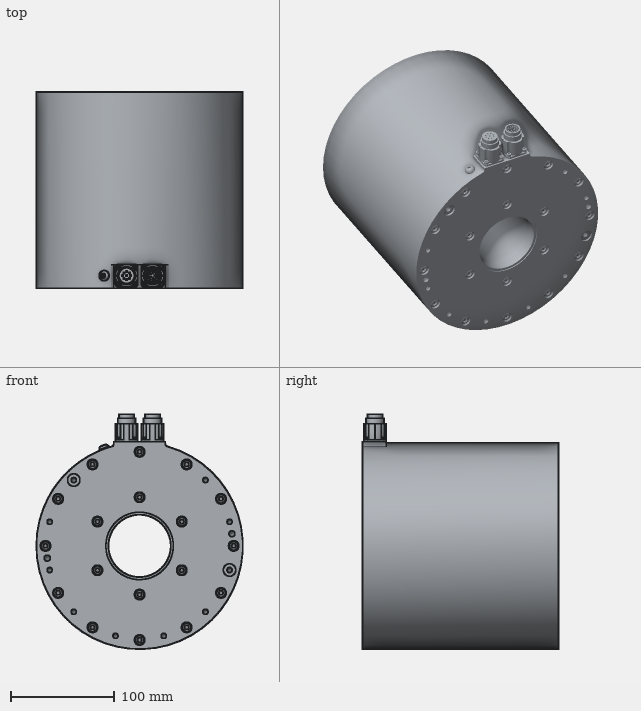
import cadquery as cq
import math

DRUM_DIAMETER = 200.0
DRUM_RADIUS = DRUM_DIAMETER / 2
DRUM_LENGTH = 190.0
TOTAL_HEIGHT = 227.5
BORE_DIAMETER = 60.0
RIM_DIAMETER = 65.3
RIM_DEPTH = 1.0

OUTER_SCREW_RADIUS = 91.0
OUTER_SCREW_COUNT = 12
INNER_SCREW_RADIUS = 47.0
INNER_SCREW_COUNT = 6
FIRST_SCREW_ANGLE = 90
SCREW_POCKET_DIAMETER = 10.0
SCREW_POCKET_DEPTH = 6.0
SCREW_HEAD_DIAMETER = 8.5
SCREW_HEAD_HEIGHT = 5.0
SCREW_EDGE_FILLET = 1.0
SCREW_HEX_DIAMETER = 4.5
SCREW_HEX_DEPTH = 2.5

HOLE_CIRCLE_RADIUS = 90.0
TAPPED_HOLE_DIAMETER = 5.0
TAPPED_HOLE_ANGLES = (15, 45, 135, 165, 195, 225, 255, 285, 315, 345)
SPOTFACED_ANGLES = (135, 345)
SPOTFACE_DIAMETER = 12.0
SPOTFACE_DEPTH = 2.0
DOWEL_HOLE_DIAMETER = 6.0
DOWEL_HOLE_ANGLES = (7.5, 187.5)
HOLE_DEPTH = 10.0
DRILL_POINT_ANGLE = 118

PAD_WIDTH = 50.0
PAD_LENGTH = 23.0
PAD_TOP = 100.8
PAD_FOOT_FILLET = 2.7

CONNECTOR_TOP = TOTAL_HEIGHT - DRUM_RADIUS
CONNECTOR_SPACING = 25.0
CONNECTOR_Y = 12.3
FLANGE_SIDE = 21.8
FLANGE_THICKNESS = 2.0
FLANGE_CORNER_RADIUS = 3.2
SHELL_TOP = 118.0
COLLAR_TOP = 123.5
COLLAR_DIAMETER = 17.5
NOSE_DIAMETER = 15.0
KEY_WIDTH = 5.5
SIDE_GROOVE_WIDTH = 1.0
SIDE_GROOVE_DEPTH = 1.1
FLANGE_SCREW_OFFSET = 8.5
FLANGE_SCREW_DIAMETER = 4.0
FLANGE_SCREW_HEIGHT = 2.5
FLANGE_SCREW_HEX_DIAMETER = 2.3
FLANGE_SCREW_HEX_DEPTH = 1.1
SCREW_CHANNEL_DIAMETER = 5.0

CONTACT_HOLE_DIAMETER = 1.5
CONTACT_HOLE_DEPTH = 2.5
CONTACT_HOLE_RINGS = ((3.9, 8), (0, 1))
PIN_WELL_DIAMETER = 12.0
PIN_WELL_DEPTH = 5.0
PIN_DIAMETER = 1.0
PIN_SETBACK = 0.5
PIN_RINGS = ((4.3, 12), (2.3, 5))

BUTTON_TILT = -20
BUTTON_DIAMETER = 10.0
BUTTON_TOP_DIAMETER = 5.0
BUTTON_RIM_HEIGHT = 0.7
BUTTON_HEIGHT = 3.6
BUTTON_DOME_RADIUS = 4.0
BUTTON_DOME_HEIGHT = 2.5
BUTTON_ROOT = 2.3
BUTTON_HEX_DIAMETER = 3.2
BUTTON_HEX_DEPTH = 2.0


def front_plane(y=0.0):
    """Plane parallel to the front face whose normal points into the drum."""
    return cq.Workplane(cq.Plane((0, y, 0), xDir=(-1, 0, 0), normal=(0, 1, 0)))


def circle_points(radius, angles):
    """Points on a circle around the origin, as coordinate pairs; angles in degrees from +X."""
    return [(radius * math.cos(math.radians(a)), radius * math.sin(math.radians(a))) for a in angles]


def equal_angles(count, start=0.0):
    return [start + i * 360 / count for i in range(count)]


def upright(diameter, bottom, top):
    """Vertical cylinder on the Z axis between two heights."""
    return cq.Workplane("XY").workplane(offset=bottom).circle(diameter / 2).extrude(top - bottom)


def copies(shape, places):
    """Compound of a shape repeated at (x, y, z) places."""
    placed = [shape.val().moved(cq.Location(cq.Vector(*place))) for place in places]
    return cq.Workplane(cq.Compound.makeCompound(placed))


def on_front(shape, points):
    """Compound of a shape repeated at (x, z) points of the front face."""
    return copies(shape, [(x, 0, z) for x, z in points])


def make_drum():
    drum = front_plane().circle(DRUM_RADIUS).extrude(DRUM_LENGTH)
    pad = cq.Workplane("XY").box(PAD_WIDTH, PAD_LENGTH, PAD_TOP, centered=(True, False, False))
    drum = drum.union(pad)
    foot_z = math.sqrt(DRUM_RADIUS**2 - (PAD_WIDTH / 2) ** 2)
    for side in (-1, 1):
        foot = cq.selectors.NearestToPointSelector((side * PAD_WIDTH / 2, PAD_LENGTH / 2, foot_z))
        drum = drum.edges("|Y").edges(foot).fillet(PAD_FOOT_FILLET)
    bore = front_plane().circle(BORE_DIAMETER / 2).extrude(DRUM_LENGTH)
    rim = front_plane().circle(RIM_DIAMETER / 2).extrude(RIM_DEPTH)
    return drum.cut(bore).cut(rim)


def blind_hole(diameter):
    """Drilled hole along Y from the front face, with a conical bottom."""
    tip = HOLE_DEPTH + diameter / 2 / math.tan(math.radians(DRILL_POINT_ANGLE / 2))
    outline = [(0, 0), (diameter / 2, 0), (diameter / 2, HOLE_DEPTH), (0, tip)]
    profile = cq.Workplane("XY").polyline(outline).close()
    return profile.revolve(360, (0, 0, 0), (0, 1, 0))


def drill_front(drum):
    tapped = circle_points(HOLE_CIRCLE_RADIUS, TAPPED_HOLE_ANGLES)
    dowels = circle_points(HOLE_CIRCLE_RADIUS, DOWEL_HOLE_ANGLES)
    spots = circle_points(HOLE_CIRCLE_RADIUS, SPOTFACED_ANGLES)
    spotface = front_plane().circle(SPOTFACE_DIAMETER / 2).extrude(SPOTFACE_DEPTH)
    drum = drum.cut(on_front(blind_hole(TAPPED_HOLE_DIAMETER), tapped))
    drum = drum.cut(on_front(blind_hole(DOWEL_HOLE_DIAMETER), dowels))
    return drum.cut(on_front(spotface, spots))


def add_front_screws(drum):
    places = circle_points(OUTER_SCREW_RADIUS, equal_angles(OUTER_SCREW_COUNT, FIRST_SCREW_ANGLE))
    places += circle_points(INNER_SCREW_RADIUS, equal_angles(INNER_SCREW_COUNT, FIRST_SCREW_ANGLE))
    head_y = SCREW_POCKET_DEPTH - SCREW_HEAD_HEIGHT
    pocket = front_plane().circle(SCREW_POCKET_DIAMETER / 2).extrude(SCREW_POCKET_DEPTH)
    head = front_plane(head_y).circle(SCREW_HEAD_DIAMETER / 2).extrude(SCREW_HEAD_HEIGHT)
    head = head.faces("<Y").edges().fillet(SCREW_EDGE_FILLET)
    hexagon = front_plane(head_y).polygon(6, SCREW_HEX_DIAMETER).extrude(SCREW_HEX_DEPTH)
    return drum.cut(on_front(pocket.cut(head.cut(hexagon)), places))


def flange_screw_places():
    signs = (-1, 1)
    return [(sx * FLANGE_SCREW_OFFSET, sy * FLANGE_SCREW_OFFSET, 0) for sx in signs for sy in signs]


def make_shell():
    """Round housing with a flat key front and back, side grooves and channels for the flange screws."""
    bottom = PAD_TOP + FLANGE_THICKNESS
    rim = FLANGE_SIDE / 2
    keys = cq.Workplane("XY").workplane(offset=PAD_TOP).rect(KEY_WIDTH, FLANGE_SIDE)
    keys = keys.extrude(SHELL_TOP - PAD_TOP)
    side_grooves = cq.Workplane("XY").workplane(offset=bottom).pushPoints([(-rim, 0), (rim, 0)])
    side_grooves = side_grooves.rect(2 * SIDE_GROOVE_DEPTH, SIDE_GROOVE_WIDTH).extrude(SHELL_TOP - bottom)
    channels = copies(upright(SCREW_CHANNEL_DIAMETER, bottom, SHELL_TOP), flange_screw_places())
    shell = upright(FLANGE_SIDE, bottom, SHELL_TOP)
    return shell.cut(side_grooves).cut(channels).union(keys)


def contact_places(rings):
    """Places of contacts on circles around Z; rings lists (circle radius, contact count)."""
    return [(x, y, 0) for radius, count in rings for x, y in circle_points(radius, equal_angles(count))]


def make_contact_holes():
    hole = upright(CONTACT_HOLE_DIAMETER, CONNECTOR_TOP - CONTACT_HOLE_DEPTH, CONNECTOR_TOP)
    return copies(hole, contact_places(CONTACT_HOLE_RINGS))


def make_pin_well():
    """Round well in the nose, less the pins that stand in it."""
    floor = CONNECTOR_TOP - PIN_WELL_DEPTH
    well = upright(PIN_WELL_DIAMETER, floor, CONNECTOR_TOP)
    pin = upright(PIN_DIAMETER, floor, CONNECTOR_TOP - PIN_SETBACK)
    return well.cut(copies(pin, contact_places(PIN_RINGS)))


def make_connector(contacts):
    flange_top = PAD_TOP + FLANGE_THICKNESS
    flange = cq.Workplane("XY").workplane(offset=PAD_TOP).rect(FLANGE_SIDE, FLANGE_SIDE)
    flange = flange.extrude(FLANGE_THICKNESS).edges("|Z").fillet(FLANGE_CORNER_RADIUS)
    screw_top = flange_top + FLANGE_SCREW_HEIGHT
    screw = upright(FLANGE_SCREW_DIAMETER, flange_top, screw_top)
    hexagon = cq.Workplane("XY").workplane(offset=screw_top).polygon(6, FLANGE_SCREW_HEX_DIAMETER)
    screw = screw.cut(hexagon.extrude(-FLANGE_SCREW_HEX_DEPTH))
    connector = flange.union(make_shell())
    connector = connector.union(upright(COLLAR_DIAMETER, SHELL_TOP, COLLAR_TOP))
    connector = connector.union(upright(NOSE_DIAMETER, COLLAR_TOP, CONNECTOR_TOP))
    return connector.union(copies(screw, flange_screw_places())).cut(contacts)


def make_button_screw():
    """Domed screw head with a hexagon socket, tilted around the drum axis."""
    rim_radius = BUTTON_DIAMETER / 2
    top_radius = BUTTON_TOP_DIAMETER / 2
    rim_z = DRUM_RADIUS + BUTTON_RIM_HEIGHT
    top_z = DRUM_RADIUS + BUTTON_HEIGHT
    dome_middle = (BUTTON_DOME_RADIUS, DRUM_RADIUS + BUTTON_DOME_HEIGHT)
    profile = (
        cq.Workplane("XZ")
        .moveTo(0, DRUM_RADIUS - BUTTON_ROOT)
        .lineTo(rim_radius, DRUM_RADIUS - BUTTON_ROOT)
        .lineTo(rim_radius, rim_z)
        .threePointArc(dome_middle, (top_radius, top_z))
        .lineTo(0, top_z)
        .close()
    )
    head = profile.revolve(360, (0, 0, 0), (0, 1, 0))
    hexagon = cq.Workplane("XY").workplane(offset=top_z).polygon(6, BUTTON_HEX_DIAMETER)
    head = head.cut(hexagon.extrude(-BUTTON_HEX_DEPTH))
    return head.rotate((0, 0, 0), (0, 1, 0), BUTTON_TILT).translate((0, CONNECTOR_Y, 0))


hole_connector = make_connector(make_contact_holes())
pin_connector = make_connector(make_pin_well())

result = add_front_screws(drill_front(make_drum()))
result = result.union(hole_connector.translate((-CONNECTOR_SPACING / 2, CONNECTOR_Y, 0)))
result = result.union(pin_connector.translate((CONNECTOR_SPACING / 2, CONNECTOR_Y, 0)))
result = result.union(make_button_screw())